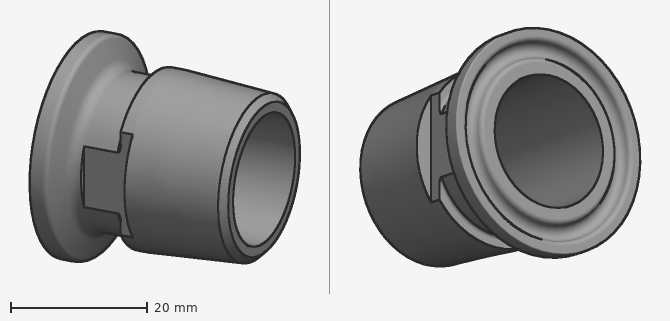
import cadquery as cq
import math

LENGTH = 30.0
BORE_RADIUS = 10.0

FLANGE_RADIUS = 17.0
RIM_LENGTH = 2.25
FACE_EDGE_FILLET = 0.2
WALL_ANGLE = math.radians(70)
FLANGE_FILLET = 0.86

GROOVE_RADIUS = 13.75
GROOVE_HALF_WIDTH = 2.0
GROOVE_DEPTH = 1.55
GROOVE_LIP_FILLET = 0.8

NECK_RADIUS = 12.0
BLEND_END = 6.08
SHOULDER_START = 12.0
SHOULDER_RADIUS = 13.67
SHOULDER_FILLET = 0.5

TAPER_START = 14.0
TAPER_END_RADIUS = 12.68
END_CHAMFER = 1.1

FLAT_DISTANCE = 11.0
FLAT_START = 6.0


def arc_point(center, radius, angle):
    """Point on a circle in the (axial, radial) half plane."""
    return (center[0] + radius * math.cos(angle), center[1] + radius * math.sin(angle))


def make_body():
    """Revolve the outer profile about the X axis, with the bore left open."""
    rim_center = (RIM_LENGTH, FLANGE_RADIUS - FLANGE_FILLET)
    rim_mid = arc_point(rim_center, FLANGE_FILLET, math.pi / 2 - WALL_ANGLE / 2)
    cone_top = arc_point(rim_center, FLANGE_FILLET, math.pi / 2 - WALL_ANGLE)

    cone_drop = (BLEND_END - cone_top[0]) * math.tan(WALL_ANGLE)
    overshoot = cone_drop - (cone_top[1] - NECK_RADIUS)
    blend_radius = overshoot / (math.sin(WALL_ANGLE) * math.tan(WALL_ANGLE) - (1 - math.cos(WALL_ANGLE)))
    blend_center = (BLEND_END, NECK_RADIUS + blend_radius)
    cone_bottom = arc_point(blend_center, blend_radius, -math.pi / 2 - WALL_ANGLE)
    blend_mid = arc_point(blend_center, blend_radius, -math.pi / 2 - WALL_ANGLE / 2)

    shoulder_center = (SHOULDER_START - SHOULDER_FILLET, NECK_RADIUS + SHOULDER_FILLET)
    shoulder_mid = arc_point(shoulder_center, SHOULDER_FILLET, -math.pi / 4)

    face_center = (FACE_EDGE_FILLET, FLANGE_RADIUS - FACE_EDGE_FILLET)
    face_mid = arc_point(face_center, FACE_EDGE_FILLET, 3 * math.pi / 4)

    taper_end = LENGTH - END_CHAMFER

    profile = (
        cq.Workplane("XZ")
        .moveTo(0, BORE_RADIUS)
        .lineTo(0, face_center[1])
        .threePointArc(face_mid, (face_center[0], FLANGE_RADIUS))
        .lineTo(RIM_LENGTH, FLANGE_RADIUS)
        .threePointArc(rim_mid, cone_top)
        .lineTo(*cone_bottom)
        .threePointArc(blend_mid, (BLEND_END, NECK_RADIUS))
        .lineTo(shoulder_center[0], NECK_RADIUS)
        .threePointArc(shoulder_mid, (SHOULDER_START, shoulder_center[1]))
        .lineTo(SHOULDER_START, SHOULDER_RADIUS)
        .lineTo(TAPER_START, SHOULDER_RADIUS)
        .lineTo(taper_end, TAPER_END_RADIUS)
        .lineTo(LENGTH, TAPER_END_RADIUS - END_CHAMFER)
        .lineTo(LENGTH, BORE_RADIUS)
        .close()
    )
    return profile.revolve(360, (0, 0, 0), (1, 0, 0))


def make_gasket_groove():
    """Ring groove with rounded lips, sloped walls and a round bottom."""
    lip_width = GROOVE_LIP_FILLET * math.sin(WALL_ANGLE)
    lip_drop = GROOVE_LIP_FILLET * (1 - math.cos(WALL_ANGLE))

    wall_width = GROOVE_HALF_WIDTH - lip_width
    wall_drop = GROOVE_DEPTH - lip_drop
    wall_slope = math.tan(WALL_ANGLE)
    bottom_radius = (wall_width * wall_slope - wall_drop) / (
        math.sin(WALL_ANGLE) * wall_slope - (1 - math.cos(WALL_ANGLE))
    )
    bottom_half_width = bottom_radius * math.sin(WALL_ANGLE)
    bottom_edge_depth = GROOVE_DEPTH - bottom_radius * (1 - math.cos(WALL_ANGLE))

    mid_width = GROOVE_HALF_WIDTH - GROOVE_LIP_FILLET * math.sin(WALL_ANGLE / 2)
    mid_drop = GROOVE_LIP_FILLET * (1 - math.cos(WALL_ANGLE / 2))

    profile = (
        cq.Workplane("XZ")
        .moveTo(0, GROOVE_RADIUS + GROOVE_HALF_WIDTH)
        .threePointArc((mid_drop, GROOVE_RADIUS + mid_width), (lip_drop, GROOVE_RADIUS + wall_width))
        .lineTo(bottom_edge_depth, GROOVE_RADIUS + bottom_half_width)
        .threePointArc((GROOVE_DEPTH, GROOVE_RADIUS), (bottom_edge_depth, GROOVE_RADIUS - bottom_half_width))
        .lineTo(lip_drop, GROOVE_RADIUS - wall_width)
        .threePointArc((mid_drop, GROOVE_RADIUS - mid_width), (0, GROOVE_RADIUS - GROOVE_HALF_WIDTH))
        .close()
    )
    return profile.revolve(360, (0, 0, 0), (1, 0, 0))


def make_flat_cut(side):
    """Block that removes everything beyond one wrench flat, on the +Y (1) or -Y (-1) side."""
    cut_length = TAPER_START - FLAT_START
    cut_depth = FLANGE_RADIUS - FLAT_DISTANCE
    return (
        cq.Workplane("XY")
        .box(cut_length, cut_depth, 2 * FLANGE_RADIUS)
        .translate((FLAT_START + cut_length / 2, side * (FLAT_DISTANCE + cut_depth / 2), 0))
    )


result = make_body().cut(make_gasket_groove())
for side in (-1, 1):
    result = result.cut(make_flat_cut(side))